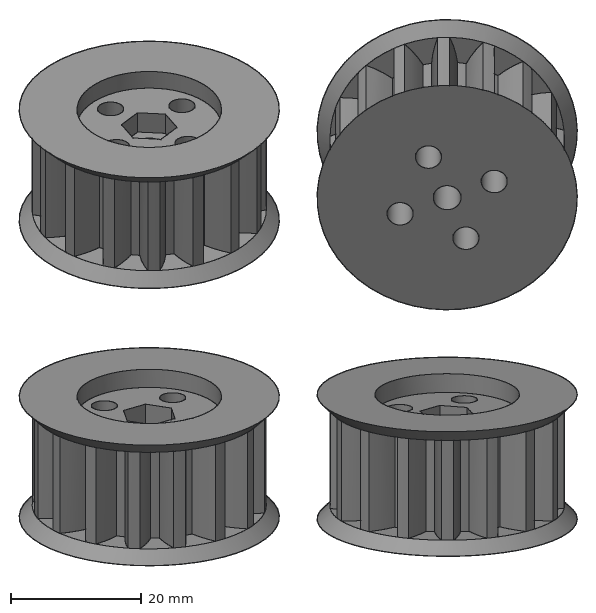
import cadquery as cq
import math

flange_diameter = 40.0
height = 20.0
flange_thickness = 2.0
tooth_count = 16
tip_radius = flange_diameter / 2 - flange_thickness
root_radius = 13.6

tip_half_width = 0.9
middle_half_width = 1.65
middle_radius = 15.75
root_half_width = 2.0

pocket_diameter = 22.2
pocket_depth = 3.0
bore_diameter = 4.3
hex_across_corners = 2 * bore_diameter
hex_depth = 3.5

screw_hole_diameter = 4.0
screw_spacing = 11.0
screw_pattern_turn = -20.0
screw_hole_count = 4


def polar(radius, angle):
    return (radius * math.cos(angle), radius * math.sin(angle))


def make_toothed_core():
    """Extrude a closed outline of curved teeth joined by root arcs."""
    pitch_angle = 2 * math.pi / tooth_count
    tip_angle = math.asin(tip_half_width / tip_radius)
    middle_angle = math.asin(middle_half_width / middle_radius)
    root_angle = math.asin(root_half_width / root_radius)

    outline = cq.Workplane("XY").moveTo(*polar(root_radius, -root_angle))
    for tooth in range(tooth_count):
        center = tooth * pitch_angle
        outline = (
            outline
            .threePointArc(
                polar(middle_radius, center - middle_angle),
                polar(tip_radius, center - tip_angle),
            )
            .threePointArc(
                polar(tip_radius, center),
                polar(tip_radius, center + tip_angle),
            )
            .threePointArc(
                polar(middle_radius, center + middle_angle),
                polar(root_radius, center + root_angle),
            )
            .threePointArc(
                polar(root_radius, center + pitch_angle / 2),
                polar(root_radius, center + pitch_angle - root_angle),
            )
        )
    return outline.close().extrude(height)


def make_flange(outer_z, inner_z):
    """Revolve a cone that is widest at the outer face of the pulley."""
    return (
        cq.Workplane("XZ")
        .polyline([(0, outer_z), (flange_diameter / 2, outer_z), (tip_radius, inner_z), (0, inner_z)])
        .close()
        .revolve(360, (0, 0, 0), (0, 1, 0))
    )


def make_cutouts():
    """Combine the pocket, nut seat, bore and screw holes into one cutter."""
    pocket_floor = height - pocket_depth
    hex_floor = pocket_floor - hex_depth
    pocket_plane = cq.Workplane("XY", origin=(0, 0, pocket_floor))
    pocket = pocket_plane.circle(pocket_diameter / 2).extrude(pocket_depth)
    hex_plane = cq.Workplane("XY", origin=(0, 0, hex_floor))
    nut_seat = hex_plane.polygon(6, hex_across_corners).extrude(hex_depth)
    bore = cq.Workplane("XY").circle(bore_diameter / 2).extrude(height)
    screw_holes = (
        cq.Workplane("XY")
        .polarArray(screw_spacing / math.sqrt(2), 45 + screw_pattern_turn, 360, screw_hole_count)
        .circle(screw_hole_diameter / 2)
        .extrude(height)
    )
    return pocket.union(nut_seat).union(bore).union(screw_holes)


bottom_flange = make_flange(0, flange_thickness)
top_flange = make_flange(height, height - flange_thickness)
result = make_toothed_core().union(bottom_flange).union(top_flange).cut(make_cutouts())